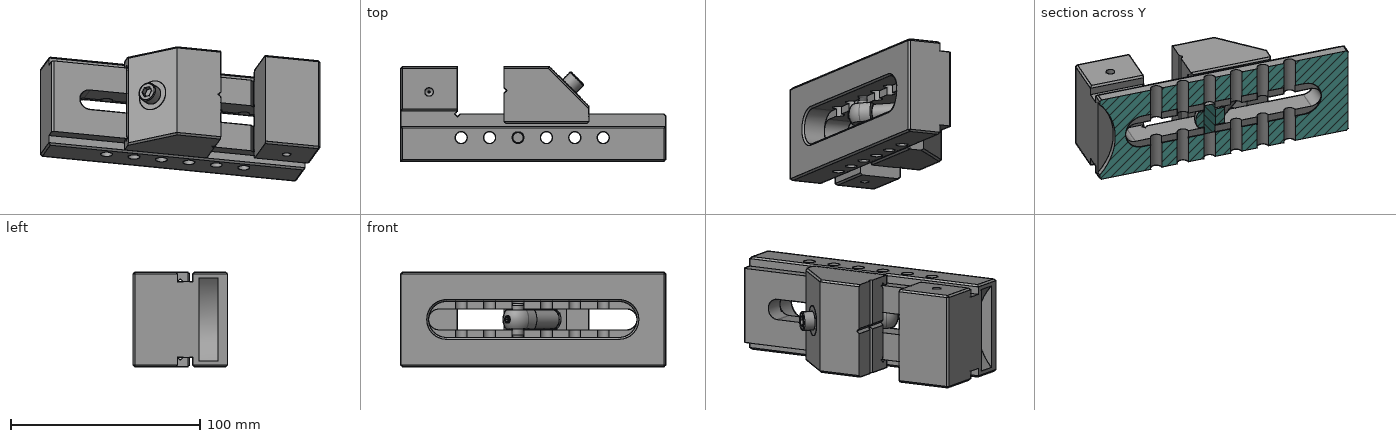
import cadquery as cq
import math


WIDTH = 50.0
HALF_WIDTH = WIDTH / 2
JAW_TOP = 50.0
CHAMFER = 1.0
RELIEF = 1.4

BED_LENGTH = 140.0
FOOT_HEIGHT = 18.5
RAIL_HALF_WIDTH = 20.0
RAIL_TOP = 25.0
FIXED_JAW_LENGTH = 30.0
FIXED_JAW_BOTTOM = 26.5
WINDOW_LENGTH = 110.0
WINDOW_CENTER_X = 69.75
WINDOW_WIDTH = 19.0
SLOT_WIDTH = 11.0
NOTCH_COUNT = 6
NOTCH_PITCH = 15.0
FIRST_NOTCH_X = 31.95
NOTCH_Y = 12.5
WINDOW_FLOOR = 12.8
NOTCH_DIAMETER = 6.2
END_RECESS_BOTTOM = 5.0
END_RECESS_TOP = 15.2
END_RECESS_DEPTH = 8.7
END_RECESS_HALF_WIDTH = 22.0
TAPPED_HOLE_X = 15.0
TAPPED_HOLE_Y = 36.6
TAPPED_HOLE_DIAMETER = 4.5
VENT_DIAMETER = 1.0
DRILL_TIP_HALF_ANGLE = math.radians(59)
TAPPED_HOLE_DEPTH = 12.0

JAW_FRONT = 54.5
JAW_LENGTH = 44.9
JAW_BACK = JAW_FRONT + JAW_LENGTH
SKIRT_BOTTOM = 20.0
V_GROOVE_Y = 37.4

USED_NOTCH = 2
PIVOT_X = FIRST_NOTCH_X + USED_NOTCH * NOTCH_PITCH
SLOPE_DISTANCE = 38.2
SEAT_DISTANCE = 27.0
POCKET_RADIUS = 9.0
SCREW_HOLE_RADIUS = 5.1

WASHER_RADIUS = 8.0
WASHER_THICKNESS = 3.0
WASHER_STANDOUT = 0.15
WASHER_TOP = SLOPE_DISTANCE + WASHER_STANDOUT
WASHER_BOTTOM = WASHER_TOP - WASHER_THICKNESS

SCREW_RADIUS = 3.0
HEAD_RADIUS = 5.0
HEAD_HEIGHT = 6.0
HEAD_CHAMFER = 0.5
HEAD_SOCKET = 5.0
HEAD_SOCKET_DEPTH = 3.0
SCREW_END = 6.0

BALL_RADIUS = 8.0
BALL_THICKNESS = 10.0
COLLAR_LENGTH = 6.1
SHANK_RADIUS = 5.0
SHANK_END = 25.8

PIN_RADIUS = NOTCH_DIAMETER / 2
PIN_LENGTH = 18.0
PIN_CHAMFER_LENGTH = 1.2
PIN_CHAMFER_DEPTH = 0.4

SET_SCREW_RADIUS = 2.0
SET_SCREW_TIP = 8.4
SET_SCREW_CHAMFER = 0.4
SET_SCREW_SOCKET = 2.0
SET_SCREW_SOCKET_DEPTH = 2.0


def block(x0, x1, y0, y1, half_width):
    """Box between two X and two Y places, centred across the vise."""
    return cq.Workplane("XY").box(x1 - x0, y1 - y0, 2 * half_width).translate(
        ((x0 + x1) / 2, (y0 + y1) / 2, 0)
    )


def z_bar(x, y, size):
    """Square bar along Z standing on its corner."""
    return cq.Workplane("XY").center(x, y).polygon(4, 2 * size).extrude(HALF_WIDTH, both=True)


def axis_plane(distance):
    """Plane square to the clamping axis, with local X pointing down the slope and local Y along Z."""
    step = distance / math.sqrt(2)
    return cq.Workplane(
        cq.Plane(origin=(PIVOT_X + step, NOTCH_Y + step, 0), xDir=(1, -1, 0), normal=(1, 1, 0))
    )


def axis_rod(radius, start, end):
    return axis_plane(start).circle(radius).extrude(end - start)


def hexagon(across_flats):
    return across_flats / math.cos(math.pi / 6)


def make_bed():
    foot = block(0, BED_LENGTH, 0, FOOT_HEIGHT, HALF_WIDTH)
    foot = foot.edges("|X or (|Y and (<X or >X)) or (|Z and >X and <Y)").chamfer(CHAMFER)
    rail = block(0, BED_LENGTH, FOOT_HEIGHT, RAIL_TOP, RAIL_HALF_WIDTH)
    rail = rail.edges("|Z and >X and >Y").chamfer(CHAMFER)
    neck = block(0, FIXED_JAW_LENGTH, RAIL_TOP, FIXED_JAW_BOTTOM, RAIL_HALF_WIDTH)
    jaw = block(0, FIXED_JAW_LENGTH, FIXED_JAW_BOTTOM, JAW_TOP, HALF_WIDTH)
    jaw = jaw.edges("|X or (|Y and <X) or (|Z and <X and >Y)").chamfer(CHAMFER)
    bed = foot.union(rail).union(neck).union(jaw)

    bed = bed.cut(z_bar(FIXED_JAW_LENGTH, RAIL_TOP, RELIEF))
    return bed.cut(window()).cut(notches()).cut(end_recess()).cut(tapped_holes())


def window():
    """Long opening with a chamfered mouth, narrowing to a slot through the rail."""
    front = cq.Workplane("XZ").center(WINDOW_CENTER_X, 0)
    opening = front.slot2D(WINDOW_LENGTH, WINDOW_WIDTH).extrude(-WINDOW_FLOOR)
    slot = front.slot2D(WINDOW_LENGTH, SLOT_WIDTH).extrude(-FIXED_JAW_BOTTOM)
    mouth = (
        front.slot2D(WINDOW_LENGTH + 2 * CHAMFER, WINDOW_WIDTH + 2 * CHAMFER)
        .extrude(-CHAMFER, taper=45)
    )
    return opening.union(slot).union(mouth)


def notches():
    """Row of cross holes that the pin can hook into."""
    places = [(FIRST_NOTCH_X + i * NOTCH_PITCH, NOTCH_Y) for i in range(NOTCH_COUNT)]
    return (
        cq.Workplane("XY").pushPoints(places).circle(NOTCH_DIAMETER / 2)
        .extrude(HALF_WIDTH, both=True)
    )


def end_recess():
    """Pocket with an arc-shaped bottom, as left by a disc cutter."""
    return (
        cq.Workplane("XZ", origin=(0, END_RECESS_BOTTOM, 0))
        .moveTo(0, -END_RECESS_HALF_WIDTH)
        .threePointArc((END_RECESS_DEPTH, 0), (0, END_RECESS_HALF_WIDTH))
        .close()
        .extrude(END_RECESS_BOTTOM - END_RECESS_TOP)
    )


def tapped_holes():
    """Two facing blind holes with drill tips, joined by a fine vent."""
    radius = TAPPED_HOLE_DIAMETER / 2
    tip = TAPPED_HOLE_DEPTH + radius / math.tan(DRILL_TIP_HALF_ANGLE)
    top_hole = (
        cq.Workplane("XZ")
        .polyline([
            (0, HALF_WIDTH),
            (radius, HALF_WIDTH),
            (radius, HALF_WIDTH - TAPPED_HOLE_DEPTH),
            (0, HALF_WIDTH - tip),
        ])
        .close()
        .revolve(360, (0, 0, 0), (0, 1, 0))
    )
    vent = cq.Workplane("XY").circle(VENT_DIAMETER / 2).extrude(HALF_WIDTH, both=True)
    holes = top_hole.union(top_hole.mirror("XY")).union(vent)
    return holes.translate((TAPPED_HOLE_X, TAPPED_HOLE_Y, 0))


def make_moving_jaw():
    slope_sum = PIVOT_X + NOTCH_Y + SLOPE_DISTANCE * math.sqrt(2)
    jaw = (
        cq.Workplane("XY")
        .polyline([
            (JAW_FRONT, SKIRT_BOTTOM),
            (JAW_BACK, SKIRT_BOTTOM),
            (JAW_BACK, slope_sum - JAW_BACK),
            (slope_sum - JAW_TOP, JAW_TOP),
            (JAW_FRONT, JAW_TOP),
        ])
        .close()
        .extrude(HALF_WIDTH, both=True)
    )
    sloped_edges = cq.selectors.ParallelDirSelector(cq.Vector(1, -1, 0))
    jaw = jaw.edges(sloped_edges + cq.StringSyntaxSelector("|X")).chamfer(CHAMFER)
    jaw = jaw.edges("|Z and <Y").chamfer(CHAMFER)

    jaw = jaw.cut(block(JAW_FRONT, JAW_BACK, SKIRT_BOTTOM, RAIL_TOP, RAIL_HALF_WIDTH))
    reliefs = (
        cq.Workplane("YZ", origin=(JAW_FRONT, 0, 0))
        .pushPoints([(RAIL_TOP, -RAIL_HALF_WIDTH), (RAIL_TOP, RAIL_HALF_WIDTH)])
        .polygon(4, 2 * RELIEF)
        .extrude(JAW_LENGTH)
    )
    jaw = jaw.cut(reliefs)

    level_groove = (
        cq.Workplane("XZ", origin=(JAW_FRONT, 0, 0)).polygon(4, 2 * RELIEF).extrude(-JAW_TOP)
    )
    jaw = jaw.cut(z_bar(JAW_FRONT, V_GROOVE_Y, RELIEF)).cut(level_groove)

    pocket = axis_rod(POCKET_RADIUS, 0, SEAT_DISTANCE)
    pocket_side = (
        axis_plane(0).center(POCKET_RADIUS, 0)
        .rect(2 * POCKET_RADIUS, 2 * POCKET_RADIUS).extrude(SEAT_DISTANCE)
    )
    screw_hole = axis_rod(SCREW_HOLE_RADIUS, SEAT_DISTANCE, SLOPE_DISTANCE)
    washer_seat = axis_rod(WASHER_RADIUS, WASHER_BOTTOM, SLOPE_DISTANCE)
    return jaw.cut(pocket).cut(pocket_side).cut(screw_hole).cut(washer_seat)


def make_washer():
    return axis_rod(WASHER_RADIUS, WASHER_BOTTOM, WASHER_TOP).cut(
        axis_rod(SCREW_RADIUS, WASHER_BOTTOM, WASHER_TOP)
    )


def make_screw():
    shank = axis_rod(SCREW_RADIUS, SCREW_END, WASHER_TOP)
    head_top = WASHER_TOP + HEAD_HEIGHT
    head = axis_rod(HEAD_RADIUS, WASHER_TOP, head_top).faces(">(1, 1, 0)").chamfer(HEAD_CHAMFER)
    socket = axis_plane(head_top).polygon(6, hexagon(HEAD_SOCKET)).extrude(-HEAD_SOCKET_DEPTH)
    return shank.union(head).cut(socket)


def make_draw_nut():
    """Ball and collar flattened to pass the slot, with a round shank for the screw."""
    ball = cq.Workplane("XY").sphere(BALL_RADIUS).translate((PIVOT_X, NOTCH_Y, 0))
    collar = axis_rod(BALL_RADIUS, 0, COLLAR_LENGTH)
    flats = (
        cq.Workplane("XY").center(PIVOT_X, NOTCH_Y)
        .box(4 * BALL_RADIUS, 4 * BALL_RADIUS, BALL_THICKNESS)
    )
    nut = ball.union(collar).intersect(flats).union(axis_rod(SHANK_RADIUS, 0, SHANK_END))
    nut = nut.cut(pin_blank()).cut(axis_rod(SCREW_RADIUS, SCREW_END, SHANK_END))
    return nut.cut(axis_rod(SET_SCREW_RADIUS, -SET_SCREW_TIP, -PIN_RADIUS))


def pin_blank():
    """Plain cross pin resting on the lower side of the window."""
    return (
        cq.Workplane("XY", origin=(PIVOT_X, NOTCH_Y, -WINDOW_WIDTH / 2))
        .circle(PIN_RADIUS).extrude(PIN_LENGTH)
    )


def make_pin():
    pin = pin_blank()
    pin = pin.faces(">Z").chamfer(PIN_CHAMFER_LENGTH, PIN_CHAMFER_DEPTH)
    return pin.faces("<Z").chamfer(PIN_CHAMFER_LENGTH, PIN_CHAMFER_DEPTH)


def make_set_screw():
    """Screw from the back of the ball that locks the cross pin."""
    screw = axis_rod(SET_SCREW_RADIUS, -SET_SCREW_TIP, -PIN_RADIUS)
    screw = screw.faces("<(1, 1, 0)").chamfer(SET_SCREW_CHAMFER)
    socket = (
        axis_plane(-SET_SCREW_TIP).polygon(6, hexagon(SET_SCREW_SOCKET))
        .extrude(SET_SCREW_SOCKET_DEPTH)
    )
    return screw.cut(socket)


bed = make_bed()
moving_jaw = make_moving_jaw()
washer = make_washer()
clamp_screw = make_screw()
draw_nut = make_draw_nut()
cross_pin = make_pin()
set_screw = make_set_screw()

bodies = [bed, moving_jaw, washer, clamp_screw, draw_nut, cross_pin, set_screw]
result = cq.Compound.makeCompound([body.val() for body in bodies])